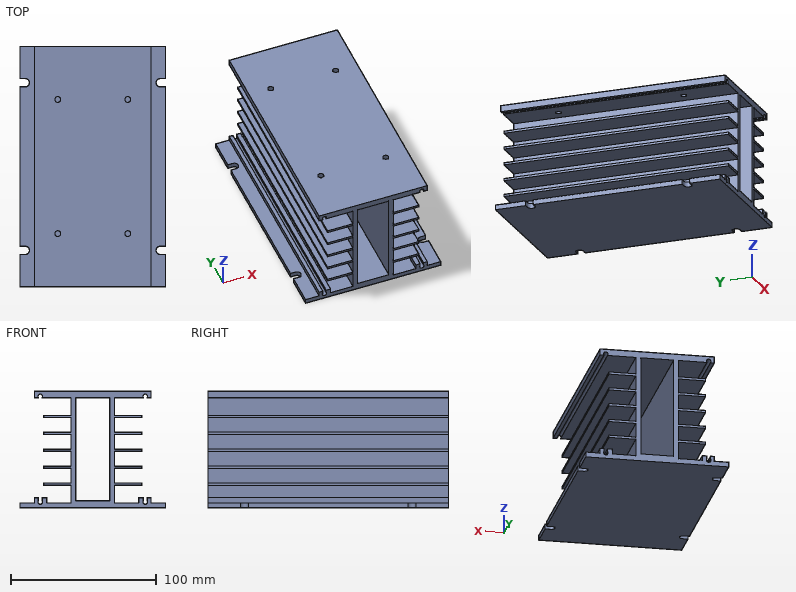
import cadquery as cq

base_width = 100.0
length = 165.0
height = 80.0

base_thickness = 3.5
top_width = 80.0
top_thickness = 4.5
column_width = 30.0
cavity_width = 23.0
cavity_floor = 5.0

fin_count = 5
fin_span = 67.5
fin_thickness = 1.6
fin_pitch = 11.6
fin_middle_z = (base_thickness + height - top_thickness) / 2

rail_width = 8.5
rail_top = 7.0
rail_x = (top_width - rail_width) / 2

groove_x = 36.0
groove_diameter = 3.0
throat_width = 2.5
lower_groove_z = 4.0
upper_groove_depth = 3.5
upper_groove_z = height - upper_groove_depth

slot_width = 5.5
slot_depth = 6.5
slot_spacing = 115.0

hole_diameter = 4.0
hole_spacing_x = 48.0
hole_spacing_y = 92.0


def bar(width, z_low, z_high, x=0.0):
    """Full-length rectangular bar centred on x, between two heights."""
    return cq.Workplane("XY", origin=(x, 0, z_low)).box(
        width, length, z_high - z_low, centered=(True, True, False)
    )


def groove(x, z, z_open):
    """Full-length round groove with a throat reaching up or down to z_open."""
    bore = (
        cq.Workplane("XZ", origin=(x, 0, z))
        .circle(groove_diameter / 2)
        .extrude(length / 2, both=True)
    )
    return bore.union(bar(throat_width, min(z, z_open), max(z, z_open), x))


def plates_and_column():
    base = bar(base_width, 0, base_thickness)
    top = bar(top_width, height - top_thickness, height)
    column = bar(column_width, 0, height)
    return base.union(top).union(column)


def add_fins(body):
    for index in range(fin_count):
        z = fin_middle_z + (index - (fin_count - 1) / 2) * fin_pitch
        body = body.union(bar(fin_span, z - fin_thickness / 2, z + fin_thickness / 2))
    return body


def add_rails_and_grooves(body):
    for side in (-1, 1):
        body = body.union(bar(rail_width, 0, rail_top, side * rail_x))
        body = body.cut(groove(side * groove_x, lower_groove_z, rail_top))
        body = body.cut(groove(side * groove_x, upper_groove_z, height - top_thickness))
    return body


def cut_edge_slots(body):
    slots = (
        cq.Workplane("XY")
        .rarray(base_width, slot_spacing, 2, 2)
        .slot2D(2 * slot_depth, slot_width)
        .extrude(base_thickness)
    )
    return body.cut(slots)


def cut_top_holes(body):
    holes = (
        cq.Workplane("XY", origin=(0, 0, height - top_thickness))
        .rarray(hole_spacing_x, hole_spacing_y, 2, 2)
        .circle(hole_diameter / 2)
        .extrude(top_thickness)
    )
    return body.cut(holes)


body = add_fins(plates_and_column())
body = body.cut(bar(cavity_width, cavity_floor, height - top_thickness))
body = add_rails_and_grooves(body)
body = cut_edge_slots(body)
result = cut_top_holes(body)